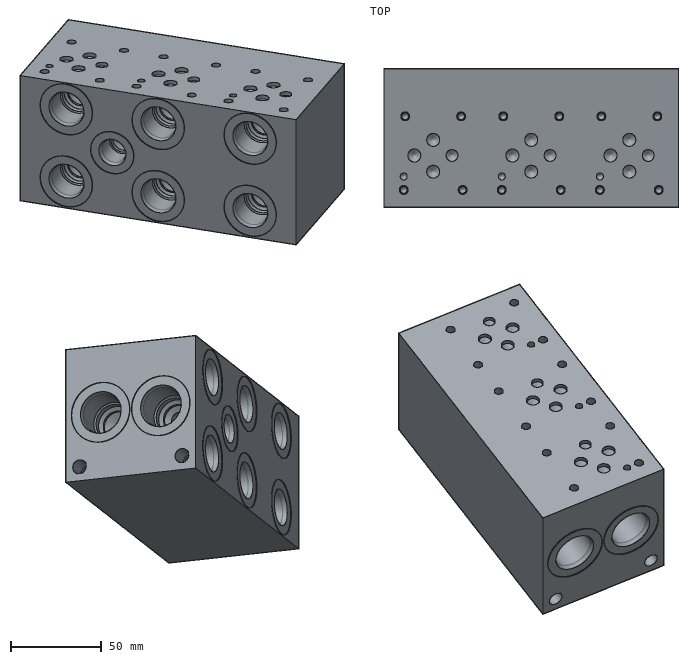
import cadquery as cq
import math

LENGTH = 162.0
SIDE = 76.3

STATION_PITCH = 54.0
STATION_XS = [LENGTH / 2 + i * STATION_PITCH for i in (-1, 0, 1)]

DRILL_TIP_HALF_ANGLE = math.radians(59)

SPOTFACE_DEPTH = 0.5
SEAT_DEPTH = 2.6

WORK_SPOTFACE, WORK_MOUTH = 30.6, 20.4
WORK_THREAD, WORK_THREAD_DEPTH = 19.3, 16.7
WORK_TAP_DRILL, WORK_TAP_DEPTH = 17.5, 20.2
WORK_PASSAGE, WORK_PASSAGE_DEPTH = 14.2, 22.7
PORT_A_Z = 16.2
PORT_B_Z = 60.0

GAUGE_SPOTFACE, GAUGE_MOUTH = 25.3, 15.9
GAUGE_THREAD, GAUGE_THREAD_DEPTH = 14.2, 15.0
GAUGE_TAP_DRILL, GAUGE_TAP_DEPTH = 12.8, 17.8
GAUGE_X = LENGTH / 2 - STATION_PITCH / 2

MAIN_SPOTFACE, MAIN_MOUTH = 34.2, 23.8
MAIN_THREAD, MAIN_THREAD_DEPTH = 22.5, 19.8
MAIN_TAP_DRILL, MAIN_TAP_DEPTH = 20.4, 24.3
MAIN_PASSAGE, MAIN_PASSAGE_DEPTH = 15.9, 27.5
PRESSURE_PILOT, PRESSURE_PILOT_DEPTH = 9.2, 35.6
PRESSURE_Y = 20.5
TANK_Y = 55.9
MAIN_Z = SIDE / 2

MOUNT_THREAD, MOUNT_THREAD_DEPTH = 8.0, 13.0
MOUNT_DRILL, MOUNT_DRILL_DEPTH = 6.3, 16.2
MOUNT_INSET = 8.1

BOLT_THREAD, BOLT_THREAD_DEPTH = 4.9, 13.0
BOLT_DRILL, BOLT_DRILL_DEPTH = 3.7, 15.4
BOLT_FRONT_Y, BOLT_FRONT_HALF_SPAN = 9.5, 16.2
BOLT_REAR_Y, BOLT_REAR_HALF_SPAN = 50.0, 15.4
PIN_DIAMETER, PIN_DEPTH, PIN_Y = 3.9, 4.9, 17.0
VALVE_DEPTH = 2.3
VALVE_PORT, VALVE_TANK_PORT = 7.1, 6.5
VALVE_A_Y, VALVE_B_Y = 37.1, 19.6
VALVE_SIDE_OFFSET, VALVE_SIDE_Y = 10.4, 28.5


def tip_length(radius):
    """Height of a drill-point cone with the given base radius."""
    return radius / math.tan(DRILL_TIP_HALF_ANGLE)


def turned_cutter(profile, origin, inward):
    """Revolve (radius, depth) points about the inward axis through origin."""
    x_dir = (0, 1, 0) if inward[1] == 0 else (1, 0, 0)
    axis = cq.Vector(*inward)
    normal = cq.Vector(*x_dir).cross(axis)
    plane = cq.Plane(origin=origin, xDir=x_dir, normal=normal.toTuple())
    outline = cq.Workplane(plane).polyline(profile).close()
    return outline.revolve(360, (0, 0), (0, 1))


def stepped_drill_points(steps):
    """Points below the mouth for (diameter, depth) drills, large to small, each with a conical tip."""
    points = []
    previous_radius, previous_depth = steps[0][0] / 2, 0
    for diameter, depth in steps:
        radius = diameter / 2
        if points:
            points.append((radius, previous_depth + tip_length(previous_radius - radius)))
        points.append((radius, depth))
        previous_radius, previous_depth = radius, depth
    return points + [(0, previous_depth + tip_length(previous_radius))]


def plain_profile(steps):
    """Blind hole of one or more drill steps with a sharp mouth."""
    return [(0, 0), (steps[0][0] / 2, 0)] + stepped_drill_points(steps)


def port_profile(spotface, mouth, steps):
    """Spotface and seat tapering to the first drill size, then stepped drills."""
    entry = [
        (0, 0),
        (spotface / 2, 0),
        (spotface / 2, SPOTFACE_DEPTH),
        (mouth / 2, SPOTFACE_DEPTH),
        (steps[0][0] / 2, SPOTFACE_DEPTH + SEAT_DEPTH),
    ]
    return entry + stepped_drill_points(steps)


def front_ports():
    """Cutters for the A, B and GA ports."""
    inward = (0, 1, 0)
    work_steps = [(WORK_THREAD, WORK_THREAD_DEPTH), (WORK_TAP_DRILL, WORK_TAP_DEPTH)]
    work_steps.append((WORK_PASSAGE, WORK_PASSAGE_DEPTH))
    work = port_profile(WORK_SPOTFACE, WORK_MOUTH, work_steps)
    gauge_steps = [(GAUGE_THREAD, GAUGE_THREAD_DEPTH), (GAUGE_TAP_DRILL, GAUGE_TAP_DEPTH)]
    gauge = port_profile(GAUGE_SPOTFACE, GAUGE_MOUTH, gauge_steps)
    cutters = [turned_cutter(work, (x, 0, z), inward) for x in STATION_XS for z in (PORT_A_Z, PORT_B_Z)]
    cutters.append(turned_cutter(gauge, (GAUGE_X, 0, SIDE / 2), inward))
    return cutters


def end_holes():
    """Cutters for the P and T ports and the two mounting holes."""
    inward = (1, 0, 0)
    tank_steps = [(MAIN_THREAD, MAIN_THREAD_DEPTH), (MAIN_TAP_DRILL, MAIN_TAP_DEPTH)]
    tank_steps.append((MAIN_PASSAGE, MAIN_PASSAGE_DEPTH))
    pressure_steps = tank_steps + [(PRESSURE_PILOT, PRESSURE_PILOT_DEPTH)]
    cutters = []
    for y, steps in ((TANK_Y, tank_steps), (PRESSURE_Y, pressure_steps)):
        profile = port_profile(MAIN_SPOTFACE, MAIN_MOUTH, steps)
        cutters.append(turned_cutter(profile, (0, y, MAIN_Z), inward))
    mount = plain_profile([(MOUNT_THREAD, MOUNT_THREAD_DEPTH), (MOUNT_DRILL, MOUNT_DRILL_DEPTH)])
    for y in (MOUNT_INSET, SIDE - MOUNT_INSET):
        cutters.append(turned_cutter(mount, (0, y, MOUNT_INSET), inward))
    return cutters


def valve_interface(station_x):
    """Cutters for one valve mounting pattern: bolts, locating pin and four ports."""
    bolt = plain_profile([(BOLT_THREAD, BOLT_THREAD_DEPTH), (BOLT_DRILL, BOLT_DRILL_DEPTH)])
    pin = plain_profile([(PIN_DIAMETER, PIN_DEPTH)])
    port = plain_profile([(VALVE_PORT, VALVE_DEPTH)])
    tank_port = plain_profile([(VALVE_TANK_PORT, VALVE_DEPTH)])
    holes = [
        (bolt, -BOLT_FRONT_HALF_SPAN, BOLT_FRONT_Y),
        (bolt, BOLT_FRONT_HALF_SPAN, BOLT_FRONT_Y),
        (bolt, -BOLT_REAR_HALF_SPAN, BOLT_REAR_Y),
        (bolt, BOLT_REAR_HALF_SPAN, BOLT_REAR_Y),
        (pin, -BOLT_FRONT_HALF_SPAN, PIN_Y),
        (port, 0, VALVE_A_Y),
        (port, 0, VALVE_B_Y),
        (port, -VALVE_SIDE_OFFSET, VALVE_SIDE_Y),
        (tank_port, VALVE_SIDE_OFFSET, VALVE_SIDE_Y),
    ]
    return [turned_cutter(profile, (station_x + dx, y, SIDE), (0, 0, -1)) for profile, dx, y in holes]


cutters = front_ports() + end_holes()
for x in STATION_XS:
    cutters += valve_interface(x)

result = cq.Workplane("XY").box(LENGTH, SIDE, SIDE, centered=False)
for cutter in cutters:
    result = result.cut(cutter)